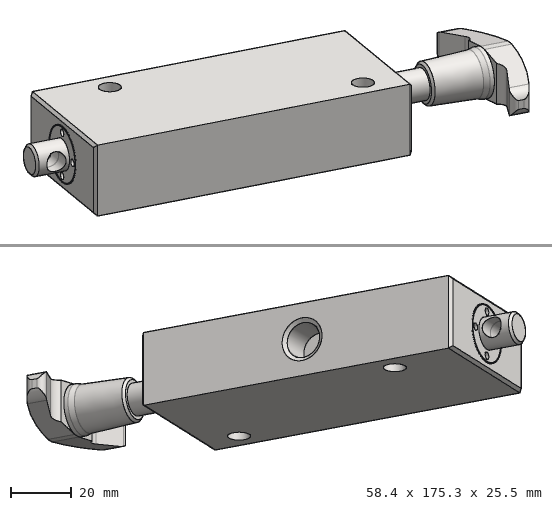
import cadquery as cq
import math


BLOCK_WIDTH = 48.9
BLOCK_LENGTH = 116.0
BLOCK_HEIGHT = 25.5
END_CHAMFER = 1.0

MOUNT_HOLE_DIAMETER = 7.5
MOUNT_HOLE_OFFSET = 16.5
FRONT_MOUNT_Y = 25.5
REAR_MOUNT_Y = 101.7

PORT_DIAMETER = 12.1
PORT_CHAMFER_WIDTH = 1.4
PORT_CHAMFER_DEPTH = 0.9
PORT_DEPTH = 12.3
PORT_Y = 55.7

BUSH_DIAMETER = 20.0
BUSH_GROOVE = 0.4
SPANNER_HOLE_COUNT = 4
SPANNER_HOLE_DIAMETER = 2.5
SPANNER_HOLE_DEPTH = 2.6
SPANNER_CIRCLE_RADIUS = 7.7

ROD_DIAMETER = 11.0
ROD_REACH = 12.0
ROD_TIP_CHAMFER = 0.9
CROSS_HOLE_DIAMETER = 7.0
CROSS_HOLE_Y = -4.7

OVERALL_LENGTH = 175.3
CROWN_Y = OVERALL_LENGTH - ROD_REACH
HUB_RADIUS = 8.8
HUB_TOP_DEPTH = 9.1
COLLAR_END_DEPTH = 11.5
NECK_DEPTH = 13.7
HUB_END_DEPTH = 31.9
NECK_RADIUS = 8.2
HUB_END_RADIUS = 7.5
HUB_END_CHAMFER = 0.9

BAR_SPAN = 58.4
CROWN_RADIUS = 62.2
TIP_CORNER_DEPTH = 14.2
FINGER_ARC_OUTER = (15.6, 8.8)
FINGER_ARC_TOP = (14.0, 8.5)
FINGER_ARC_ROOT = (10.5, 10.0)
TIP_UPPER_FILLET = 3.2
TIP_LOWER_FILLET = 2.1

RIDGE_HALF_WIDTH = 1.4
BAR_END_X = 25.2
BAR_END_HALF_HEIGHT = 4.9
BAR_NOSE_X = 29.5


def rod_along_y(diameter, start_y, end_y):
    """Cylinder on the plunger axis between two Y positions."""
    return cq.Workplane("XZ", origin=(0, start_y, 0)).circle(diameter / 2).extrude(start_y - end_y)


def cut_bush_face(body):
    """Cut the V-groove and the spanner holes of the guide bush into the front face."""
    rim = BUSH_DIAMETER / 2
    groove = (
        cq.Workplane("XY")
        .polyline([(rim - BUSH_GROOVE, 0), (rim, 0), (rim, BUSH_GROOVE)])
        .close()
        .revolve(360, (0, 0, 0), (0, 1, 0))
    )
    spanner_holes = (
        cq.Workplane("XZ")
        .polarArray(SPANNER_CIRCLE_RADIUS, 0, 360, SPANNER_HOLE_COUNT)
        .circle(SPANNER_HOLE_DIAMETER / 2)
        .extrude(-SPANNER_HOLE_DEPTH)
    )
    return body.cut(groove).cut(spanner_holes)


def cut_port(body):
    """Cut the chamfered, flat-bottomed port into the -X side."""
    radius = PORT_DIAMETER / 2
    side_x = -BLOCK_WIDTH / 2
    port = (
        cq.Workplane("XY", origin=(side_x, PORT_Y, 0))
        .polyline([
            (0, 0),
            (0, radius + PORT_CHAMFER_WIDTH),
            (PORT_CHAMFER_DEPTH, radius),
            (PORT_DEPTH, radius),
            (PORT_DEPTH, 0),
        ])
        .close()
        .revolve(360, (0, 0, 0), (1, 0, 0))
    )
    return body.cut(port)


def make_housing():
    block = (
        cq.Workplane("XY", origin=(0, BLOCK_LENGTH / 2, 0))
        .box(BLOCK_WIDTH, BLOCK_LENGTH, BLOCK_HEIGHT)
        .faces("<Y or >Y")
        .chamfer(END_CHAMFER)
    )
    mount_holes = (
        cq.Workplane("XY")
        .pushPoints([(-MOUNT_HOLE_OFFSET, FRONT_MOUNT_Y), (MOUNT_HOLE_OFFSET, REAR_MOUNT_Y)])
        .circle(MOUNT_HOLE_DIAMETER / 2)
        .extrude(BLOCK_HEIGHT / 2, both=True)
    )
    bore = rod_along_y(ROD_DIAMETER, 0, BLOCK_LENGTH)
    return cut_port(cut_bush_face(block.cut(mount_holes).cut(bore)))


def make_rod():
    """Rod with a chamfered tip and a cross hole, running up to the handle hub."""
    rod = (
        rod_along_y(ROD_DIAMETER, -ROD_REACH, CROWN_Y - HUB_END_DEPTH)
        .faces("<Y")
        .chamfer(ROD_TIP_CHAMFER)
    )
    cross_hole = (
        cq.Workplane("YZ")
        .center(CROSS_HOLE_Y, 0)
        .circle(CROSS_HOLE_DIAMETER / 2)
        .extrude(ROD_DIAMETER, both=True)
    )
    return rod.cut(cross_hole)


def make_hub():
    """Tapered handle hub with a collar, revolved about the plunger axis."""
    return (
        cq.Workplane("XY", origin=(0, CROWN_Y, 0))
        .polyline([
            (0, -HUB_TOP_DEPTH),
            (HUB_RADIUS, -HUB_TOP_DEPTH),
            (HUB_RADIUS, -COLLAR_END_DEPTH),
            (NECK_RADIUS, -NECK_DEPTH),
            (HUB_END_RADIUS, -HUB_END_DEPTH + HUB_END_CHAMFER),
            (HUB_END_RADIUS - HUB_END_CHAMFER, -HUB_END_DEPTH),
            (0, -HUB_END_DEPTH),
        ])
        .close()
        .revolve(360, (0, 0, 0), (0, 1, 0))
    )


def crown_depth(x):
    """Depth of the crown arc below the middle of the handle."""
    return CROWN_RADIUS - math.sqrt(CROWN_RADIUS**2 - x**2)


def make_bar_profile():
    """Bow-shaped bar with finger recesses, full hub height in Z."""

    def at(side, point):
        return (side * point[0], -point[1])

    half_span = BAR_SPAN / 2
    tip_top = (half_span, crown_depth(half_span))
    tip_corner = (half_span, TIP_CORNER_DEPTH)
    left, right = -1, 1
    bar = (
        cq.Workplane("XY", origin=(0, CROWN_Y, 0))
        .moveTo(*at(left, tip_top))
        .threePointArc((0, 0), at(right, tip_top))
        .lineTo(*at(right, tip_corner))
        .lineTo(*at(right, FINGER_ARC_OUTER))
        .threePointArc(at(right, FINGER_ARC_TOP), at(right, FINGER_ARC_ROOT))
        .lineTo(*at(left, FINGER_ARC_ROOT))
        .threePointArc(at(left, FINGER_ARC_TOP), at(left, FINGER_ARC_OUTER))
        .lineTo(*at(left, tip_corner))
        .close()
        .extrude(HUB_RADIUS, both=True)
    )
    bar = bar.faces("<X or >X").edges("|Z").edges(">Y").fillet(TIP_UPPER_FILLET)
    return bar.faces("<X or >X").edges("|Z").edges("<Y").fillet(TIP_LOWER_FILLET)


def make_bar():
    """Bar profile trimmed to an outline that narrows in Z from a flat ridge to round ends."""
    outline = (
        cq.Workplane("XZ", origin=(0, CROWN_Y, 0))
        .moveTo(-RIDGE_HALF_WIDTH, HUB_RADIUS)
        .lineTo(RIDGE_HALF_WIDTH, HUB_RADIUS)
        .lineTo(BAR_END_X, BAR_END_HALF_HEIGHT)
        .threePointArc((BAR_NOSE_X, 0), (BAR_END_X, -BAR_END_HALF_HEIGHT))
        .lineTo(RIDGE_HALF_WIDTH, -HUB_RADIUS)
        .lineTo(-RIDGE_HALF_WIDTH, -HUB_RADIUS)
        .lineTo(-BAR_END_X, -BAR_END_HALF_HEIGHT)
        .threePointArc((-BAR_NOSE_X, 0), (-BAR_END_X, BAR_END_HALF_HEIGHT))
        .close()
        .extrude(HUB_END_DEPTH)
    )
    return make_bar_profile().intersect(outline)


def make_plunger():
    return make_rod().union(make_hub()).union(make_bar())


housing = make_housing()
plunger = make_plunger()

result = cq.Compound.makeCompound([*housing.solids().vals(), *plunger.solids().vals()])